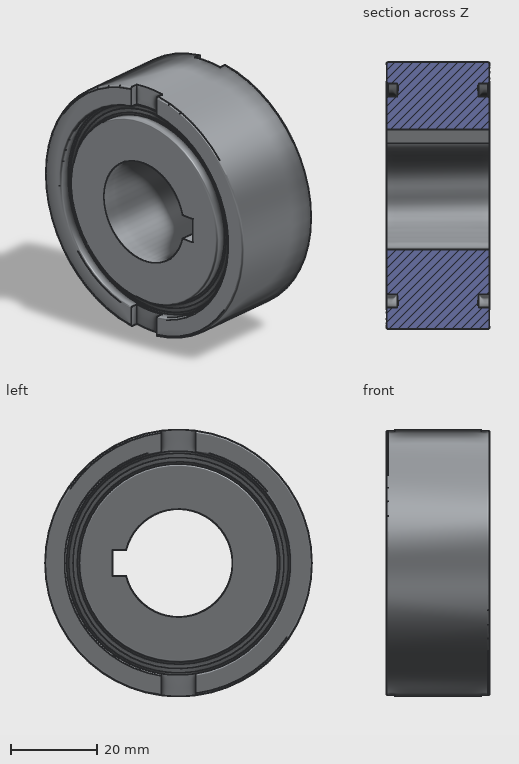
import cadquery as cq

width = 24.0
outer_radius = 31.0
bore_radius = 12.5
rim_inner_radius = 26.0
hub_radius = 23.0
edge_rounding = 0.5

recess_depth = 2.5
outer_band_radius = 25.5
outer_band_depth = 2.75
inner_band_radius = 24.5
inner_band_depth = 2.6
inner_band_end_radius = 23.5

slot_width = 8.0
slot_depth = 2.0
key_width = 6.0
key_height = 2.8

half_width = width / 2


def make_disc(radius, thickness):
    """Disc on the X axis, centred on the origin."""
    return cq.Workplane("YZ").circle(radius).extrude(thickness / 2, both=True)


def make_annulus(outer, inner, depth):
    """Annular cutter reaching the given depth into the -X face."""
    return cq.Workplane("YZ", origin=(-half_width, 0, 0)).circle(outer).circle(inner).extrude(depth)


def make_recess():
    """Cutter for the recess in the -X face and the bands in its floor."""
    recess = make_annulus(rim_inner_radius, hub_radius, recess_depth)
    outer_band = make_annulus(outer_band_radius, inner_band_radius, outer_band_depth)
    inner_band = make_annulus(inner_band_radius, inner_band_end_radius, inner_band_depth)
    return recess.union(outer_band).union(inner_band)


def make_blank():
    """Recessed ring with rounded edges on both faces, before the bore is cut."""
    recess = make_recess()
    blank = make_disc(outer_radius, width).cut(recess).cut(recess.mirror("YZ"))
    return blank.faces("<X or >X").edges().fillet(edge_rounding)


def make_slots():
    """Bar across the -X face, cleared over the recess so that only the rim is slotted."""
    bar = cq.Workplane("XY").box(slot_depth, slot_width, 2 * outer_radius)
    bar = bar.cut(make_disc(rim_inner_radius, slot_depth))
    return bar.translate((-half_width + slot_depth / 2, 0, 0))


def make_keyed_bore():
    """Through bore with a keyway on its +Y side."""
    key_reach = bore_radius + key_height
    keyway = cq.Workplane("XY").box(width, key_reach, key_width).translate((0, key_reach / 2, 0))
    return make_disc(bore_radius, width).union(keyway)


slots = make_slots()
result = make_blank().cut(make_keyed_bore()).cut(slots).cut(slots.mirror("YZ"))